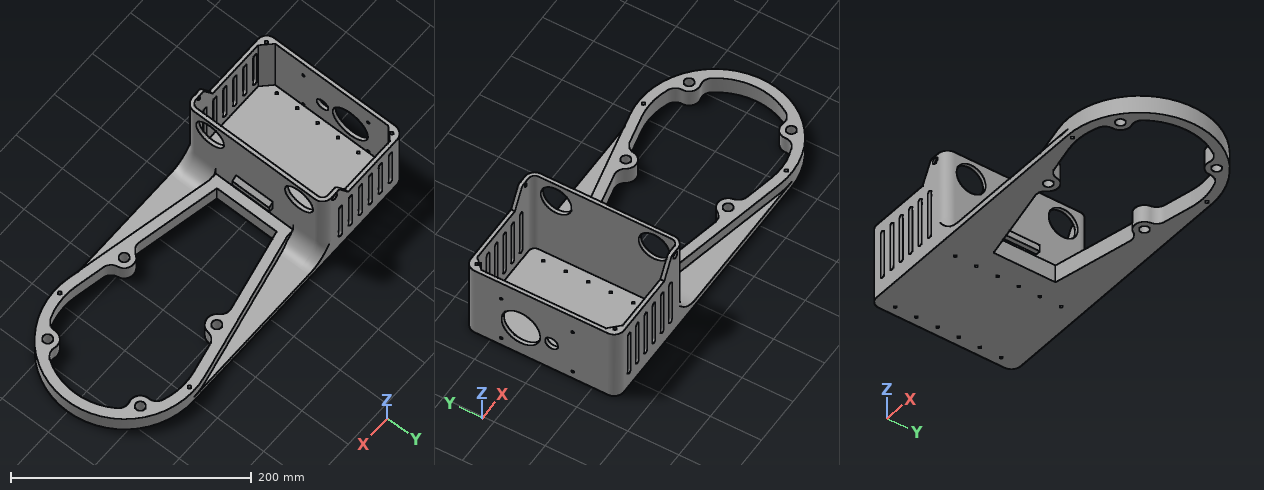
import cadquery as cq
import math

length = 350.0
width = 150.0
half_width = width / 2

box_length = 105.0
back_height = 99.0
front_height = 78.5
corner_radius = 9.8
wall = 4.0
base_thickness = 6.5
corner_block = 10.0
step_foot_x = 73.5
step_head_x = 85.0
step_rounding = 3.0

ring_radius = half_width
ring_x = length - ring_radius
rim_width = 10.0
rim_height = 18.2
rim_corner_x = 113.5
rim_corner_y = 42.0
opening_x = 115.0
opening_half_width = 32.2
flare_radius = 20.0

boss_pitch = 100.0
boss_center_x = 265.0
boss_radius = 10.0
boss_hole = 9.0
boss_blend = 10.0
ring_screw_hole = 3.0

slot_count = 6
slot_first_x = 18.0
slot_last_x = 83.3
slot_width = 5.0
slot_bottom = 16.0
slot_top = 66.5
hinge_x = 91.0
hinge_below_top = 5.0
hinge_hole = 3.0
hinge_recess = 6.3
hinge_recess_depth = 2.0
back_window_y = 48.0
back_window = 30.0
cable_hole = 37.8
cable_hole_y = 20.0
cable_hole_z = 33.2
switch_hole = 12.5
switch_hole_y = -10.0
switch_hole_z = 32.0
panel_screw_hole = 2.5
panel_pitch_y = 70.0
panel_pitch_z = 50.0
panel_center_y = 4.2
panel_center_z = 33.5
floor_hole = 2.5
floor_hole_rows = 6
floor_pitch_x = 83.3
floor_pitch_y = 22.0
floor_center_x = 50.8
lid_hole = 2.8
lid_hole_inset = 7.5
lid_hole_depth = 10.0

catch_width = 40.0
catch_reach = 5.0
catch_bottom = 30.8
catch_tip_top = 37.5
catch_root_top = 41.0


def teardrop(start_x, start_y, radius):
    """Plate with a flat end at start_x, straight sides tangent to the ring circle and a round far end."""
    run = ring_x - start_x
    slope = math.asin(radius / math.hypot(run, start_y)) - math.atan2(start_y, run)
    tangent_x = ring_x - radius * math.sin(slope)
    tangent_y = radius * math.cos(slope)
    return (
        cq.Workplane("XY").moveTo(start_x, -start_y)
        .lineTo(tangent_x, -tangent_y)
        .threePointArc((ring_x + radius, 0), (tangent_x, tangent_y))
        .lineTo(start_x, start_y)
        .close().extrude(rim_height)
    )


def plate(start_x, end_x, plate_width, height):
    """Flat plate on the base plane, centred on the X axis."""
    return (
        cq.Workplane("XY", origin=(start_x, 0, 0))
        .box(end_x - start_x, plate_width, height, centered=(False, True, False))
    )


def cylinder_x(x, y, z, diameter, depth):
    """Round bar starting at the given point and running towards +X."""
    return cq.Workplane("YZ", origin=(x, y, z)).circle(diameter / 2).extrude(depth)


def box_block():
    """Solid box with the front part lowered and a sloped, rounded step up to the back."""
    block = (
        cq.Workplane("XY").rect(box_length, width).extrude(back_height)
        .edges("|Z").fillet(corner_radius).translate((box_length / 2, 0, 0))
    )
    side_profile = (
        cq.Workplane("XZ")
        .polyline([
            (0, 0), (box_length, 0), (box_length, back_height),
            (step_head_x, back_height), (step_foot_x, front_height), (0, front_height),
        ])
        .close().extrude(half_width, both=True)
    )
    step_head = cq.selectors.NearestToPointSelector((step_head_x, 0, back_height))
    return block.intersect(side_profile.edges("|Y").edges(step_head).fillet(step_rounding))


def box_cavity():
    """Inside of the box: rounded at the back, cut off at 45 degrees at the front corners."""
    cavity_length = box_length - 2 * wall
    cavity = (
        cq.Workplane("XY").rect(cavity_length, width - 2 * wall).extrude(back_height)
        .edges("|Z and >X").fillet(corner_radius - wall)
        .edges("|Z and <X").chamfer(corner_block)
    )
    return cavity.translate((wall + cavity_length / 2, 0, base_thickness))


def flare_profile():
    """Section of the blend, measured outwards from the axis of the box corner."""
    reach = corner_radius + flare_radius
    top = base_thickness + flare_radius
    middle = flare_radius * math.sqrt(0.5)
    return (
        cq.Workplane("XZ").lineTo(reach, 0).lineTo(reach, base_thickness)
        .threePointArc((reach - middle, top - middle), (corner_radius, top))
        .lineTo(0, top).close()
    )


def flare(side):
    """Concave blend from the ledge up the box wall, carried round the box corner."""
    axis_x = box_length - corner_radius
    axis_y = half_width - corner_radius
    corner_axis = (axis_x, side * axis_y, 0)
    round_part = flare_profile().revolve(360, (0, 0, 0), (0, 1, 0)).translate(corner_axis)
    straight_part = flare_profile().extrude(side * (axis_y - rim_corner_y)).translate(corner_axis)
    return round_part.union(straight_part).intersect(plate(0, length, width, back_height))


def frame_opening():
    """Inside of the ring and arms, going round the four bosses with rounded inner corners."""
    opening = teardrop(opening_x, opening_half_width, ring_radius - rim_width)
    bosses = (
        cq.Workplane("XY").center(boss_center_x, 0)
        .rect(boss_pitch, boss_pitch, forConstruction=True).vertices()
        .circle(boss_radius).extrude(rim_height)
    )
    opening = opening.cut(bosses)
    for x_side in (1, -1):
        for y_side in (1, -1):
            x = boss_center_x + x_side * boss_pitch / 2
            y = y_side * boss_pitch / 2
            near_boss = cq.selectors.BoxSelector(
                (x - boss_radius, y - boss_radius, 0), (x + boss_radius, y + boss_radius, rim_height))
            opening = opening.edges("|Z").edges(near_boss).fillet(boss_blend)
    return opening


def catch():
    """Ledge with a sloped top, rooted in the middle of the +X wall."""
    return (
        cq.Workplane("XZ", origin=(0, catch_width / 2, 0))
        .polyline([
            (box_length - wall / 2, catch_bottom), (box_length + catch_reach, catch_bottom),
            (box_length + catch_reach, catch_tip_top), (box_length, catch_root_top),
            (box_length - wall / 2, catch_root_top),
        ])
        .close().extrude(catch_width)
    )


def vent_slots():
    """Row of upright round-ended slots through both side walls."""
    slot_length = slot_top - slot_bottom
    slot_pitch = (slot_last_x - slot_first_x) / (slot_count - 1)
    middle_x = (slot_first_x + slot_last_x) / 2
    return (
        cq.Workplane("XZ", origin=(middle_x, 0, slot_bottom + slot_length / 2))
        .rarray(slot_pitch, 3.5, slot_count, 1)
        .slot2D(slot_length, slot_width, 90).extrude(width, both=True)
    )


def hinge_holes():
    """Hole across both side walls, counterbored from outside."""
    middle = cq.Workplane("XZ", origin=(hinge_x, 0, back_height - hinge_below_top))
    holes = middle.circle(hinge_hole / 2).extrude(width, both=True)
    counterbores = middle.circle(hinge_recess / 2).extrude(half_width, both=True)
    between_counterbores = plate(0, box_length, width - 2 * hinge_recess_depth, back_height)
    return holes.union(counterbores.cut(between_counterbores))


plate_start_x = box_length / 2
part = box_block()
part = part.union(plate(plate_start_x, ring_x, width, base_thickness))
part = part.union(plate(plate_start_x, rim_corner_x, 2 * rim_corner_y, rim_height))
part = part.union(teardrop(rim_corner_x, rim_corner_y, ring_radius))
for side in (1, -1):
    part = part.union(flare(side))

part = part.cut(box_cavity()).cut(frame_opening()).union(catch())

part = part.cut(vent_slots()).cut(hinge_holes())

for side in (1, -1):
    window_start_x = box_length - 2 * wall
    part = part.cut(cylinder_x(window_start_x, side * back_window_y, front_height, back_window, 2 * wall))

part = part.cut(cylinder_x(0, cable_hole_y, cable_hole_z, cable_hole, 2 * wall))
part = part.cut(cylinder_x(0, switch_hole_y, switch_hole_z, switch_hole, 2 * wall))
for y_side in (1, -1):
    for z_side in (1, -1):
        y = panel_center_y + y_side * panel_pitch_y / 2
        z = panel_center_z + z_side * panel_pitch_z / 2
        part = part.cut(cylinder_x(0, y, z, panel_screw_hole, wall))

part = part.cut(
    cq.Workplane("XY").center(floor_center_x, 0)
    .rarray(floor_pitch_x, floor_pitch_y, 2, floor_hole_rows)
    .circle(floor_hole / 2).extrude(base_thickness)
)

part = part.cut(
    cq.Workplane("XY", origin=(lid_hole_inset, 0, front_height - lid_hole_depth))
    .rarray(3.5, width - 2 * lid_hole_inset, 1, 2)
    .circle(lid_hole / 2).extrude(lid_hole_depth)
)

part = part.cut(
    cq.Workplane("XY").center(boss_center_x, 0)
    .rarray(boss_pitch, boss_pitch, 2, 2)
    .circle(boss_hole / 2).extrude(rim_height)
)
part = part.cut(
    cq.Workplane("XY").center(ring_x, 0)
    .rarray(3.5, width - rim_width, 1, 2)
    .circle(ring_screw_hole / 2).extrude(rim_height)
)

result = part